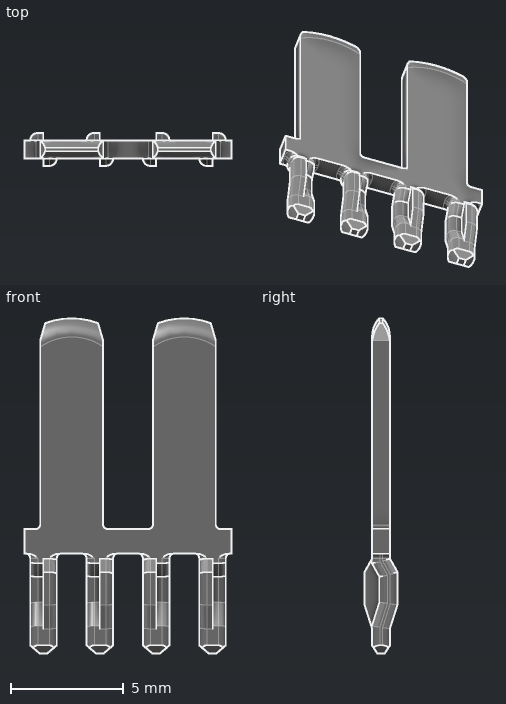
import cadquery as cq
import math

total_height = 14.89
plate_length = 9.2
thickness = 0.8
plate_bottom = 4.44
plate_top = 5.54

pin_pitch = 2.5

blade_spacing = 2 * pin_pitch
blade_width = 2.8
blade_base_fillet = 0.2
crown_radius = 3.28
nose_length = 0.82
nose_edge_thickness = 0.15
shoulder_taper = 0.22
shoulder_start = 13.9
shoulder_end = 14.67

pin_count = 4
pin_width = 1.19
pin_corner_radius = 0.34
root_fillet = 0.2
bulge_depth = 1.47
leaf_offset = (bulge_depth - thickness) / 2
bend_out_top = 4.11
bulge_top = 3.51
bulge_bottom = 2.23
bend_back_bottom = 1.18
tip_height = 0.37
tip_width = 0.33

pick_slack = 0.01


def box(x_size, y_size, z_low, z_high):
    """Block centred on the Z axis between two heights."""
    return cq.Workplane("XY").workplane(offset=z_low).rect(x_size, y_size).extrude(z_high - z_low)


def blade():
    """Blade with tapered shoulders and a crowned end that thins to a narrow edge."""
    half_width = blade_width / 2
    half_thickness = thickness / 2
    half_edge = nose_edge_thickness / 2
    end_half_width = half_width - shoulder_taper
    outline = [
        (-half_width, plate_bottom),
        (half_width, plate_bottom),
        (half_width, shoulder_start),
        (end_half_width, shoulder_end),
        (end_half_width, total_height),
        (-end_half_width, total_height),
        (-end_half_width, shoulder_end),
        (-half_width, shoulder_start),
    ]
    body = cq.Workplane("XZ").polyline(outline).close().extrude(half_thickness, both=True)

    crown_centre = total_height - crown_radius
    flat_radius = crown_radius - nose_length
    nose_drop = half_thickness - half_edge
    nose_radius = (nose_length**2 + nose_drop**2) / (2 * nose_drop)
    half_angle = math.asin(nose_length / nose_radius) / 2
    mid_radius = flat_radius + nose_radius * math.sin(half_angle)
    mid_y = half_thickness - nose_radius * (1 - math.cos(half_angle))
    disc = (
        cq.Workplane("XY")
        .moveTo(0, -half_thickness)
        .lineTo(flat_radius, -half_thickness)
        .threePointArc((mid_radius, -mid_y), (crown_radius, -half_edge))
        .lineTo(crown_radius, half_edge)
        .threePointArc((mid_radius, mid_y), (flat_radius, half_thickness))
        .lineTo(0, half_thickness)
        .close()
        .revolve(360, (0, 0, 0), (0, 1, 0))
        .translate((0, 0, crown_centre))
    )
    envelope = disc.union(box(blade_width, thickness, plate_bottom, crown_centre))
    return body.intersect(envelope)


def leaf(side, y_shift):
    """Half a pin, on the side x < 0 or x > 0, bulged along Y between its two bends."""
    half_width = pin_width / 2
    half_thickness = thickness / 2
    flat_x = half_width - pin_corner_radius
    flat_y = half_thickness - pin_corner_radius
    path = cq.Workplane("YZ").polyline([
        (0, plate_bottom),
        (0, bend_out_top),
        (y_shift, bulge_top),
        (y_shift, bulge_bottom),
        (0, bend_back_bottom),
        (0, 0),
    ])
    diagonal = pin_corner_radius * math.sqrt(0.5)
    section = (
        cq.Workplane("XY")
        .workplane(offset=plate_bottom)
        .moveTo(0, -half_thickness)
        .lineTo(side * flat_x, -half_thickness)
        .threePointArc((side * (flat_x + diagonal), -flat_y - diagonal), (side * half_width, -flat_y))
        .lineTo(side * half_width, flat_y)
        .threePointArc((side * (flat_x + diagonal), flat_y + diagonal), (side * flat_x, half_thickness))
        .lineTo(0, half_thickness)
        .close()
    )
    return section.sweep(path, transition="right")


def pin_root():
    """Concave flare between a pin and the plate, trimmed flush with the plate faces."""
    slab_x = pin_width + 4 * root_fillet
    slab_y = thickness + 4 * root_fillet
    flare = (
        box(pin_width, thickness, plate_bottom - 2 * root_fillet, plate_bottom)
        .edges("|Z")
        .fillet(pin_corner_radius)
        .union(box(slab_x, slab_y, plate_bottom, plate_top))
    )
    inner = cq.selectors.BoxSelector(
        (-pin_width / 2 - pick_slack, -thickness / 2 - pick_slack, plate_bottom - pick_slack),
        (pin_width / 2 + pick_slack, thickness / 2 + pick_slack, plate_bottom + pick_slack),
        boundingbox=True,
    )
    flare = flare.edges(inner).fillet(root_fillet)
    return flare.intersect(box(slab_x, thickness, plate_bottom - root_fillet, plate_bottom))


def pin(direction):
    """Pin whose x < 0 leaf bulges along Y in the given direction, the other one opposite."""
    leaves = leaf(-1, direction * leaf_offset).union(leaf(1, -direction * leaf_offset))
    tip = (
        cq.Workplane("XY")
        .rect(tip_width, tip_width)
        .workplane(offset=tip_height)
        .rect(pin_width, thickness)
        .loft(ruled=True)
    )
    envelope = tip.union(box(pin_width, bulge_depth, tip_height, plate_bottom))
    return leaves.intersect(envelope).union(pin_root())


body = box(plate_length, thickness, plate_bottom, plate_top)
for side in (-1, 1):
    body = body.union(blade().translate((side * blade_spacing / 2, 0, 0)))

corner_band = cq.selectors.BoxSelector(
    (-plate_length / 2 + pick_slack, -thickness, plate_top - pick_slack),
    (plate_length / 2 - pick_slack, thickness, plate_top + pick_slack),
)
body = body.edges("|Y").edges(corner_band).fillet(blade_base_fillet)

for index in range(pin_count):
    x = (index - (pin_count - 1) / 2) * pin_pitch
    direction = 1 if x < 0 else -1
    body = body.union(pin(direction).translate((x, 0, 0)))

result = body